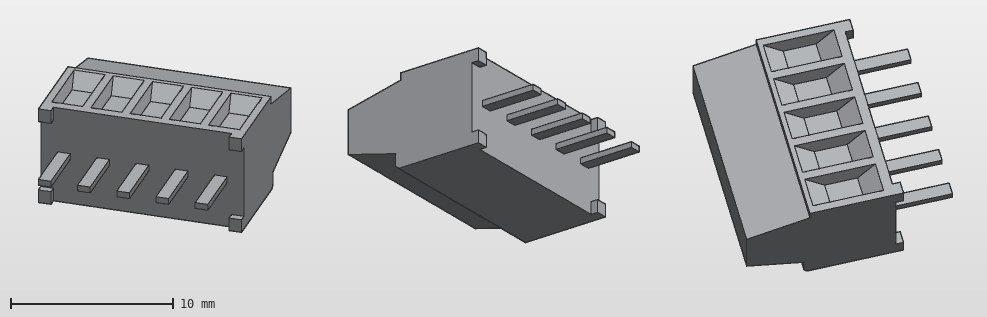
import cadquery as cq

pole_count = 5
pitch = 2.54
end_margin = 1.5
body_length = (pole_count - 1) * pitch + 2 * end_margin

height = 6.5
overall_depth = 13.4
pin_length = 3.9
foot_depth = 0.5
front_y = pin_length
foot_front_y = front_y - foot_depth
rear_y = overall_depth

nose_length_top = 4.03
nose_length_bottom = 3.65
nose_tip_drop = 1.38
nose_tip_rise = 2.06
upper_step_height = 0.5
lower_step_height = 1.08
upper_step_y = rear_y - nose_length_top
lower_step_y = rear_y - nose_length_bottom
bottom_edge_chamfer = 0.2

foot_width = 0.82
foot_height = 0.88

pin_width = 0.82
pin_thickness = 0.4
pin_z = height / 2

pocket_mouth_width = 2.0
pocket_mouth_length = 4.5
pocket_floor_width = 1.5
pocket_floor_length = 2.1
pocket_depth = 0.75
pocket_front_margin = 0.65
pocket_y = front_y + pocket_front_margin + pocket_mouth_length / 2

pole_positions = [(i - (pole_count - 1) / 2) * pitch for i in range(pole_count)]


def make_housing():
    """Extrude the side profile, with its wedge-shaped nose, along X."""
    profile = [
        (front_y, 0),
        (lower_step_y - bottom_edge_chamfer, 0),
        (lower_step_y, bottom_edge_chamfer),
        (lower_step_y, lower_step_height),
        (rear_y, nose_tip_rise),
        (rear_y, height - nose_tip_drop),
        (upper_step_y, height - upper_step_height),
        (upper_step_y, height),
        (front_y, height),
    ]
    outline = cq.Workplane("YZ").polyline(profile).close()
    return outline.extrude(body_length / 2, both=True)


def make_foot(side, bottom_z):
    """Small spacer block at one corner of the front face."""
    foot = cq.Workplane("XY").box(foot_width, foot_depth, foot_height, centered=(True, False, False))
    return foot.translate((side * (body_length - foot_width) / 2, foot_front_y, bottom_z))


def make_pin(x):
    """Flat solder pin standing out of the front face."""
    pin = cq.Workplane("XY").box(pin_width, pin_length, pin_thickness, centered=(True, False, True))
    return pin.translate((x, 0, pin_z))


def make_pocket(x):
    """Pocket cutter, narrowing from its mouth in the top face to a smaller floor."""
    mouth = cq.Workplane("XY", origin=(x, pocket_y, height)).rect(pocket_mouth_width, pocket_mouth_length)
    floor = mouth.workplane(offset=-pocket_depth).rect(pocket_floor_width, pocket_floor_length)
    return floor.loft(ruled=True)


result = make_housing()

for side in (-1, 1):
    for bottom_z in (0, height - foot_height):
        result = result.union(make_foot(side, bottom_z))

for pole_x in pole_positions:
    result = result.union(make_pin(pole_x))
    result = result.cut(make_pocket(pole_x))